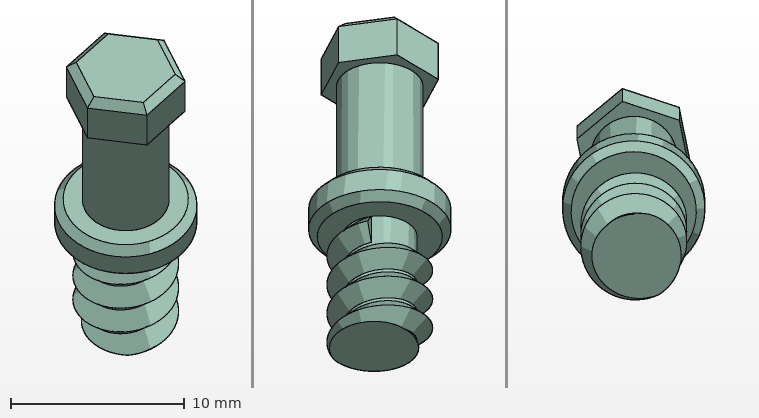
import cadquery as cq
import math

THREAD_LENGTH = 7.5
FLANGE_THICKNESS = 2.4
SHANK_LENGTH = 8.0
HEAD_HEIGHT = 3.0

CORE_DIAMETER = 4.3
CREST_DIAMETER = 6.1
FLANGE_DIAMETER = 8.2
SHANK_DIAMETER = 5.0
HEAD_ACROSS_FLATS = 6.0
HEAD_SIDES = 6

EDGE_CHAMFER = 0.5

PITCH = 2.0
CREST_TURNS = 3.75
THREAD_DEPTH = (CREST_DIAMETER - CORE_DIAMETER) / 2
CREST_END_Z = THREAD_LENGTH - THREAD_DEPTH
CREST_START_Z = CREST_END_Z - CREST_TURNS * PITCH
THREAD_START_ANGLE = 180.0
ROOT_OVERLAP = 0.3

flange_bottom = THREAD_LENGTH
flange_top = flange_bottom + FLANGE_THICKNESS
head_bottom = flange_top + SHANK_LENGTH


def cylinder(diameter, bottom, height):
    return cq.Workplane("XY").workplane(offset=bottom).circle(diameter / 2).extrude(height)


def make_thread_ridge():
    """Triangular ridge swept along a helix and cut flush with the end face."""
    core_radius = CORE_DIAMETER / 2
    crest_radius = CREST_DIAMETER / 2
    half_width = THREAD_DEPTH
    buried_radius = core_radius - ROOT_OVERLAP

    path = cq.Wire.makeHelix(PITCH, CREST_END_Z - CREST_START_Z, core_radius)
    ridge = (
        cq.Workplane("XZ")
        .moveTo(buried_radius, -half_width)
        .lineTo(core_radius, -half_width)
        .lineTo(crest_radius, 0)
        .lineTo(core_radius, half_width)
        .lineTo(buried_radius, half_width)
        .close()
        .sweep(cq.Workplane(obj=path), isFrenet=True)
        .rotate((0, 0, 0), (0, 0, 1), THREAD_START_ANGLE)
        .translate((0, 0, CREST_START_Z))
    )
    return ridge.intersect(cylinder(FLANGE_DIAMETER, 0, THREAD_LENGTH))


def make_flange():
    flange = cylinder(FLANGE_DIAMETER, flange_bottom, FLANGE_THICKNESS)
    return flange.faces("<Z or >Z").edges().chamfer(EDGE_CHAMFER)


def make_head():
    """Hexagon with two corners on the X axis and a chamfered top."""
    across_corners = HEAD_ACROSS_FLATS / math.cos(math.pi / HEAD_SIDES)
    head = (
        cq.Workplane("XY")
        .workplane(offset=head_bottom)
        .polygon(HEAD_SIDES, across_corners)
        .extrude(HEAD_HEIGHT)
    )
    return head.faces(">Z").edges().chamfer(EDGE_CHAMFER)


core = cylinder(CORE_DIAMETER, 0, THREAD_LENGTH)
shank = cylinder(SHANK_DIAMETER, flange_top, SHANK_LENGTH)

result = core.union(make_thread_ridge()).union(make_flange()).union(shank).union(make_head())